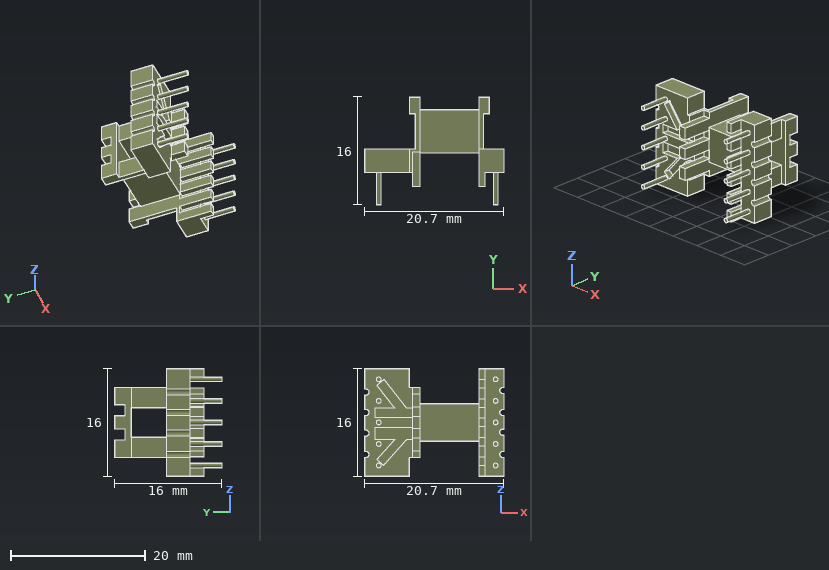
import cadquery as cq


core_half_length = 4.365
core_half_y = 3.25
core_half_z = 2.80
window_half_y = 2.60
window_half_z = 2.18

left_flange_thickness = 0.76
right_flange_thickness = 0.70
flange_half_z = 5.23
rail_back_y = 5.09
rail_front_y = window_half_y
left_rail_depth = 1.60
right_rail_depth = 1.54
notch_floor_y = 3.55
notch_width = 1.60
notch_offset_z = 1.80

block_half_z = 8.0
block_back_y = -window_half_y
block_front_y = -6.13
left_end_x = -12.62
overall_length = 20.72
overall_width = 16.0
right_end_x = left_end_x + overall_length
left_block_inner_x = -core_half_length - left_rail_depth

comb_root_y = -3.10
comb_tip_y = -8.22
left_comb_thickness = 1.18
left_bar_width = 1.94
left_middle_bar_width = 1.74
left_bar_offset_z = 3.29
right_comb_thickness = 0.91
right_bar_count = 6
right_bar_width = 1.60
right_bar_pitch = (2 * block_half_z - right_bar_width) / (right_bar_count - 1)

pin_radius = 0.35
pin_pitch = 3.20
pin_count = 5
pin_tip_y = rail_back_y - overall_width
left_pin_x = -10.53
right_pin_x = 6.85

wire_notch_radius = 0.44
wire_notch_depth = 0.63
left_wire_notch_z = (4.50, 1.48, -1.60, -4.76)
right_wire_notch_z = (4.75, 1.48, -1.46, -4.76)

channel_depth = 1.0
channel_end_x = -11.09
channel_inner_z = 0.73
upper_channel_outer_z = 2.11
lower_channel_outer_z = -2.53
branch_root_outer_x = -8.14
branch_root_inner_x = -6.38
upper_branch_tip = [(-9.74, 6.41), (-10.81, 5.51)]
lower_branch_tip = [(-9.81, -6.38), (-10.81, -5.51)]


def box(x_range, y_range, z_range):
    """Axis-aligned box spanning the given pairs of limits."""
    size = [abs(b - a) for a, b in (x_range, y_range, z_range)]
    low = [min(limits) for limits in (x_range, y_range, z_range)]
    return cq.Workplane("XY").box(*size, centered=False).translate(tuple(low))


def along_y(y_start, y_end):
    """Sketch plane facing -Y at y_start, with the signed extrusion length to y_end."""
    return cq.Workplane("XZ", origin=(0, y_start, 0)), y_start - y_end


def symmetric(half):
    """Limits of a span centred on zero."""
    return -half, half


def make_core():
    return box(symmetric(core_half_length), symmetric(core_half_y), symmetric(core_half_z))


def make_flange(side, thickness, rail_depth):
    """End plate with a thicker, twice-notched rail along its back edge."""
    inner_x = side * core_half_length
    plate = box(
        (inner_x, inner_x + side * thickness),
        (comb_root_y, rail_back_y),
        symmetric(flange_half_z),
    )
    rail_x = (inner_x, inner_x + side * rail_depth)
    flange = plate.union(box(rail_x, (rail_front_y, rail_back_y), symmetric(flange_half_z)))
    for notch_z in symmetric(notch_offset_z):
        notch_limits = (notch_z - notch_width / 2, notch_z + notch_width / 2)
        flange = flange.cut(box(rail_x, (notch_floor_y, rail_back_y), notch_limits))
    return flange


def make_bar(inner_x, outer_x, center_z, width):
    """One comb bar reaching forward past the terminal block."""
    limits_z = (center_z - width / 2, center_z + width / 2)
    return box((inner_x, outer_x), (comb_root_y, comb_tip_y), limits_z)


def make_left_block():
    """Left terminal block, the web joining it to its flange, and three comb bars."""
    inner_x = -core_half_length
    comb_outer_x = inner_x - left_comb_thickness
    block_y = (block_front_y, block_back_y)
    block = box((left_end_x, left_block_inner_x), block_y, symmetric(block_half_z))
    block = block.union(box((left_block_inner_x, comb_outer_x), block_y, symmetric(flange_half_z)))
    block = block.union(
        box((comb_outer_x, inner_x), (comb_root_y, block_back_y), symmetric(flange_half_z))
    )
    block = block.union(make_bar(inner_x, comb_outer_x, 0, left_middle_bar_width))
    for bar_z in symmetric(left_bar_offset_z):
        block = block.union(make_bar(inner_x, comb_outer_x, bar_z, left_bar_width))
    return block


def make_right_block():
    """Right terminal block with evenly spaced comb bars over its full height."""
    inner_x = core_half_length
    comb_outer_x = inner_x + right_comb_thickness
    block = box(
        (comb_outer_x, right_end_x), (block_front_y, block_back_y), symmetric(block_half_z)
    )
    block = block.union(
        box((inner_x, comb_outer_x), (comb_root_y, block_back_y), symmetric(block_half_z))
    )
    for index in range(right_bar_count):
        bar_z = (index - (right_bar_count - 1) / 2) * right_bar_pitch
        block = block.union(make_bar(inner_x, comb_outer_x, bar_z, right_bar_width))
    return block


def make_pins(pin_x):
    """Row of round pins standing out of a block's front face."""
    plane, length = along_y(block_front_y, pin_tip_y)
    centers = [(pin_x, (i - (pin_count - 1) / 2) * pin_pitch) for i in range(pin_count)]
    return plane.pushPoints(centers).circle(pin_radius).extrude(length)


def make_wire_notches(edge_x, heights):
    """Round-bottomed notches cut into a block's outer edge, through its full depth."""
    plane, length = along_y(block_back_y, block_front_y)
    slot_length = 2 * wire_notch_depth
    slot_centers = [(edge_x, z) for z in heights]
    return plane.pushPoints(slot_centers).slot2D(slot_length, 2 * wire_notch_radius).extrude(length)


def make_channel(outer_z, branch_tip):
    """Straight wire channel open to the comb, with a slanted branch of two tip corners."""
    comb_x = -core_half_length - left_comb_thickness
    inner_z = channel_inner_z if outer_z > 0 else -channel_inner_z
    floor_y = block_front_y + channel_depth
    plane, length = along_y(floor_y, block_front_y)
    outline = [
        (channel_end_x, inner_z),
        (comb_x, inner_z),
        (comb_x, outer_z),
        (branch_root_inner_x, outer_z),
        *branch_tip,
        (branch_root_outer_x, outer_z),
        (channel_end_x, outer_z),
    ]
    return plane.polyline(outline).close().extrude(length)


def make_window():
    """Rectangular opening through the core and both flanges, reaching the rail faces."""
    rail_faces_x = (left_block_inner_x, core_half_length + right_rail_depth)
    return box(rail_faces_x, symmetric(window_half_y), symmetric(window_half_z))


left_block = make_left_block()
left_block = left_block.cut(make_wire_notches(left_end_x, left_wire_notch_z))
left_block = left_block.cut(make_channel(upper_channel_outer_z, upper_branch_tip))
left_block = left_block.cut(make_channel(lower_channel_outer_z, lower_branch_tip))

right_block = make_right_block().cut(make_wire_notches(right_end_x, right_wire_notch_z))

result = (
    make_core()
    .union(make_flange(-1, left_flange_thickness, left_rail_depth))
    .union(make_flange(1, right_flange_thickness, right_rail_depth))
    .cut(make_window())
    .union(left_block)
    .union(right_block)
    .union(make_pins(left_pin_x))
    .union(make_pins(right_pin_x))
)